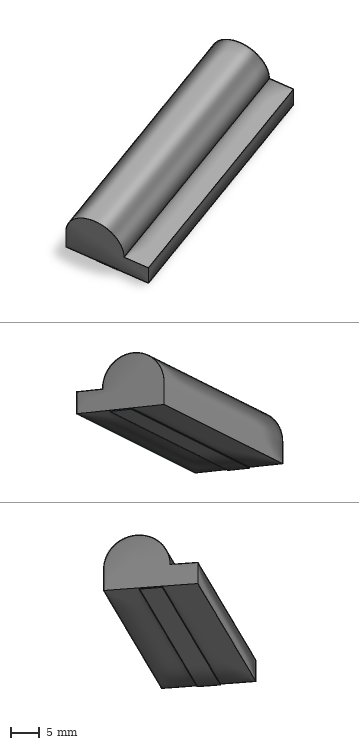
import cadquery as cq

length = 50.0
width = 17.0
round_radius = 6.0
base_height = 4.0
pad_height = 0.2
pad_width = 4.2
pad_start = 6.4
pad_end_gap = 0.1

ridge_width = 2 * round_radius


def make_body():
    """Bar with a half-round ridge on the left and a flat ledge on the right."""
    profile = (
        cq.Workplane("XZ")
        .moveTo(0, 0)
        .lineTo(width, 0)
        .lineTo(width, base_height)
        .lineTo(ridge_width, base_height)
        .threePointArc((round_radius, base_height + round_radius), (0, base_height))
        .close()
    )
    return profile.extrude(-length)


def make_pad():
    """Thin rectangular pad under the base."""
    return cq.Workplane("XY").box(
        pad_width, length - 2 * pad_end_gap, pad_height, centered=False
    ).translate((pad_start, pad_end_gap, -pad_height))


result = make_body().union(make_pad())